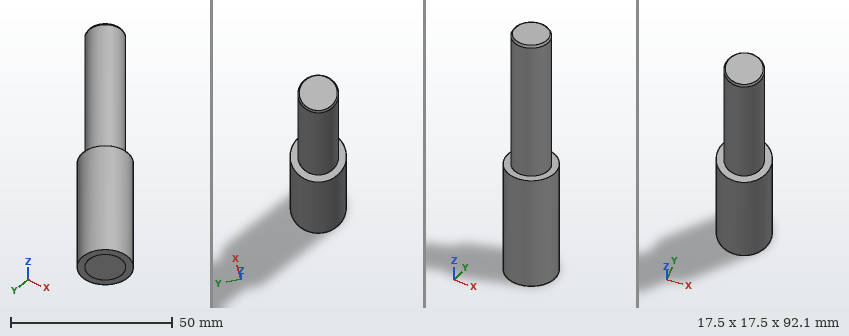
import cadquery as cq

TOTAL_LENGTH = 92.1
SLEEVE_DIAMETER = 17.5
SLEEVE_LENGTH = 41.3
SHAFT_DIAMETER = 12.7
CHAMFER_HEIGHT = 0.8
CHAMFER_WIDTH = 0.5


def make_shaft():
    """Round shaft running the full length, chamfered at its free upper end."""
    shaft = (
        cq.Workplane("XY")
        .circle(SHAFT_DIAMETER / 2)
        .extrude(TOTAL_LENGTH)
    )
    return shaft.faces(">Z").chamfer(CHAMFER_HEIGHT, CHAMFER_WIDTH)


def make_sleeve():
    """Plain sleeve around the lower part of the shaft, bored to the shaft diameter."""
    return (
        cq.Workplane("XY")
        .circle(SLEEVE_DIAMETER / 2)
        .circle(SHAFT_DIAMETER / 2)
        .extrude(SLEEVE_LENGTH)
    )


shaft = make_shaft()
sleeve = make_sleeve()

result = cq.Compound.makeCompound([shaft.val(), sleeve.val()])